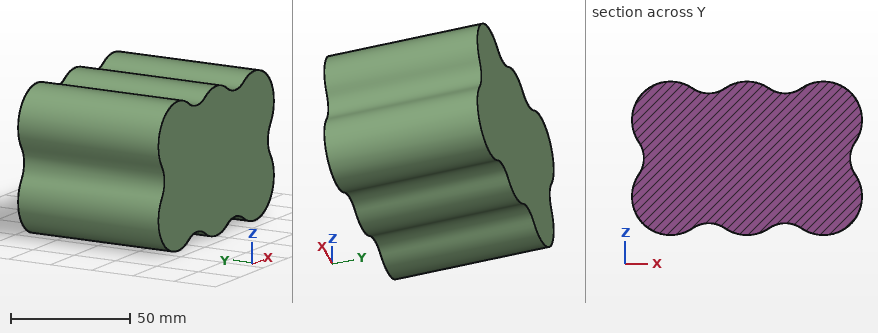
import cadquery as cq
import math

width = 96.4
depth = 68.0
lobe_radius = 16.2
valley_radius = 12.0
columns = 3
rows = 2

pitch = (width - 2 * lobe_radius) / (columns - 1)

center_distance = lobe_radius + valley_radius
valley_offset = math.sqrt(center_distance**2 - (pitch / 2) ** 2)
tangent_along = pitch / 2 * lobe_radius / center_distance
tangent_out = valley_offset * lobe_radius / center_distance
valley_bottom = valley_offset - valley_radius

half_x = pitch * (columns - 1) / 2
half_z = pitch * (rows - 1) / 2
diagonal = lobe_radius / math.sqrt(2)


def add_side(outline, lobe_count, place):
    """Draw the valleys, middle lobes and closing corner lobe of one side.

    place(along, out) maps a point measured from the side's first lobe centre.
    """
    for index in range(lobe_count - 1):
        start = index * pitch
        following = start + pitch
        outline = outline.threePointArc(
            place(start + pitch / 2, valley_bottom),
            place(following - tangent_along, tangent_out),
        )
        if index < lobe_count - 2:
            outline = outline.threePointArc(
                place(following, lobe_radius),
                place(following + tangent_along, tangent_out),
            )
    corner = (lobe_count - 1) * pitch
    return outline.threePointArc(
        place(corner + diagonal, diagonal),
        place(corner + tangent_out, -tangent_along),
    )


outline = cq.Workplane("XZ", origin=(0, depth / 2, 0))
outline = outline.moveTo(-half_x + tangent_along, half_z + tangent_out)
outline = add_side(outline, columns, lambda along, out: (-half_x + along, half_z + out))
outline = add_side(outline, rows, lambda along, out: (half_x + out, half_z - along))
outline = add_side(outline, columns, lambda along, out: (half_x - along, -half_z - out))
outline = add_side(outline, rows, lambda along, out: (-half_x - out, -half_z + along))

result = outline.close().extrude(depth)